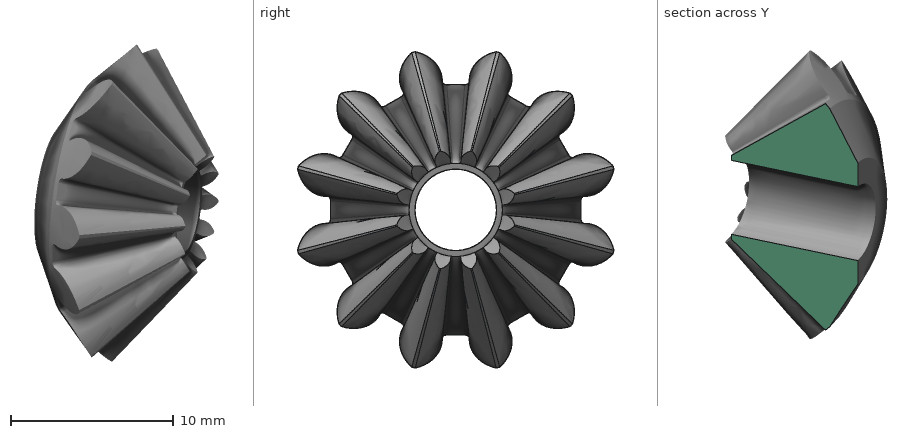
import cadquery as cq
import math


module = 1.5
tooth_count = 12
pitch_angle = math.radians(45)
face_width = 8.0
addendum = module
dedendum = 1.2 * module

bore_diameter = 5.0
hub_face_diameter = 8.25
hub_edge_diameter = 14.85
pitch_circle_x = 3.5

tip_half_width = 2.54
tip_corner_height = 1.3
pitch_half_width = 1.19
root_half_width = 0.83
root_fillet = 0.28

pitch_radius = module * tooth_count / 2
cone_distance = pitch_radius / math.sin(pitch_angle)
apex_x = pitch_circle_x + pitch_radius / math.tan(pitch_angle)
toe_scale = (cone_distance - face_width) / cone_distance

end_overrun = 0.1
tip_overrun = 0.3
cutter_heel_scale = 1 + end_overrun
cutter_toe_scale = toe_scale - end_overrun
cutter_top = addendum + tip_overrun


def heel_point(height):
    """Return (x, radius) on the heel cone at a height above the pitch cone."""
    return (
        pitch_circle_x + height * math.sin(pitch_angle),
        pitch_radius + height * math.cos(pitch_angle),
    )


def toe_point(height):
    """Return (x, radius) of a heel point carried along its line to the apex."""
    x, radius = heel_point(height)
    return apex_x - (apex_x - x) * toe_scale, radius * toe_scale


def make_blank():
    """Revolve the untoothed blank, with a flat toe face at the root."""
    bore_radius = bore_diameter / 2
    hub_edge_radius = hub_edge_diameter / 2
    hub_edge_height = (hub_edge_radius - pitch_radius) / math.cos(pitch_angle)
    toe_root = toe_point(-dedendum)
    outline = [
        (0, bore_radius),
        (0, hub_face_diameter / 2),
        heel_point(hub_edge_height),
        heel_point(addendum),
        toe_point(addendum),
        toe_root,
        (toe_root[0], bore_radius),
    ]
    return cq.Workplane("XZ").polyline(outline).close().revolve(360, (0, 0), (1, 0))


def space_wire(scale):
    """Outline of a tooth space, scaled about the pitch cone apex."""
    origin = (
        apex_x - (apex_x - pitch_circle_x) * scale,
        0,
        pitch_radius * scale,
    )
    plane = cq.Plane(
        origin=origin,
        xDir=(0, 1, 0),
        normal=(math.cos(pitch_angle), 0, -math.sin(pitch_angle)),
    )

    def at(across, height):
        return across * scale, height * scale

    fillet_top = root_fillet - dedendum
    floor_half_width = root_half_width - root_fillet
    fillet_inset = root_fillet * (1 - math.cos(math.radians(45)))
    fillet_mid = (root_half_width - fillet_inset, fillet_inset - dedendum)
    return (
        cq.Workplane(plane)
        .moveTo(*at(-floor_half_width, -dedendum))
        .lineTo(*at(floor_half_width, -dedendum))
        .threePointArc(at(*fillet_mid), at(root_half_width, fillet_top))
        .threePointArc(at(pitch_half_width, 0), at(tip_half_width, tip_corner_height))
        .lineTo(*at(tip_half_width, cutter_top))
        .lineTo(*at(-tip_half_width, cutter_top))
        .lineTo(*at(-tip_half_width, tip_corner_height))
        .threePointArc(at(-pitch_half_width, 0), at(-root_half_width, fillet_top))
        .threePointArc(at(-fillet_mid[0], fillet_mid[1]), at(-floor_half_width, -dedendum))
        .close()
        .val()
    )


def cut_tooth_spaces(blank):
    """Cut the tapering tooth spaces, the first one centred on +Z."""
    wires = [space_wire(cutter_heel_scale), space_wire(cutter_toe_scale)]
    cutter = cq.Solid.makeLoft(wires, True)
    gear = blank
    for index in range(tooth_count):
        turn = index * 360 / tooth_count
        gear = gear.cut(cq.Workplane(cutter.rotate((0, 0, 0), (1, 0, 0), turn)))
    return gear


result = cut_tooth_spaces(make_blank())